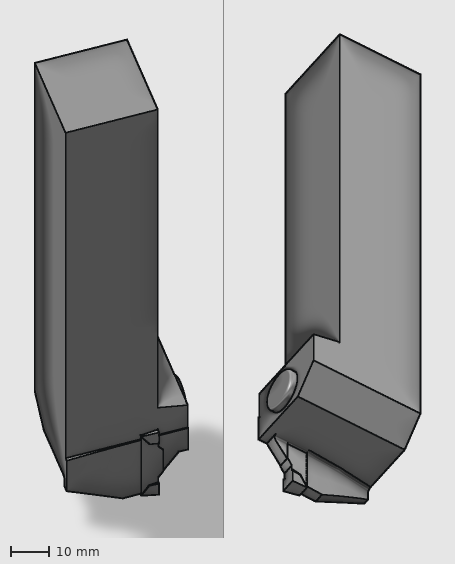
import cadquery as cq

total_height = 152.4
shank_width = 25.3
shank_depth = 25.3
holder_bottom = 14.2

lug_back = 33.5
lug_top_outer = 31.5
lug_top_inner = 33.5
chamfer_width = 7.3

head_diameter = 11.9
head_height = 2.0
head_rounding = 0.9
head_x = 13.4
head_z = 21.5

blade_top = 22.7
blade_front_bottom = 10.5
blade_toe_y = 15.5
blade_bottom = 1.4
blade_front_x = (24.4, 26.2)
blade_middle_x = (22.9, 25.8)
blade_back_x = (22.7, 25.6)
blade_middle_y = 13.7
blade_heel_y = 31.0
root_radius = 1.2

insert_front = 20.5
insert_back = 26.7
tip_y = 25.3
shoulder_low = 6.2
shoulder_high = 8.2
tip_rise = 0.6
insert_length = 24.8
insert_body_x = (22.3, 25.8)
insert_tip_x = (22.0, 26.4)
tip_back_height = 4.4
tip_land_y = 22.7
tip_land_z = 4.1
tip_flank_y = 21.2
tip_flank_z = 1.7


def extrude_yz(points, x_range):
    """Extrude a closed outline of (Y, Z) points between two X positions."""
    profile = cq.Workplane("YZ", origin=(x_range[0], 0, 0)).polyline(points).close()
    return profile.extrude(x_range[1] - x_range[0])


def make_shank():
    outline = [
        (0, holder_bottom),
        (lug_back, holder_bottom),
        (lug_back, lug_top_outer),
        (shank_depth, lug_top_inner),
        (shank_depth, total_height),
        (0, total_height),
    ]
    shank = extrude_yz(outline, (0, shank_width))
    return shank.faces("<Z").edges("<X").chamfer(chamfer_width)


def make_screw_head():
    head = (
        cq.Workplane("XZ", origin=(head_x, lug_back, head_z))
        .circle(head_diameter / 2)
        .extrude(-head_height)
    )
    return head.faces(">Y").edges().fillet(head_rounding)


def make_blade():
    """Curved plate that bulges past the +X face of the shank."""
    return (
        cq.Workplane("XY", origin=(0, 0, blade_bottom))
        .moveTo(blade_front_x[0], 0)
        .threePointArc((blade_middle_x[0], blade_middle_y), (blade_back_x[0], lug_back))
        .lineTo(blade_back_x[1], lug_back)
        .threePointArc((blade_middle_x[1], blade_middle_y), (blade_front_x[1], 0))
        .close()
        .extrude(blade_top - blade_bottom)
    )


def make_blade_trim():
    """Side outline of the blade below the shank, cut away where the insert sits."""
    outline = [
        (0, total_height),
        (0, blade_front_bottom),
        (blade_toe_y, blade_bottom),
        (insert_front, blade_bottom),
        (insert_front, shoulder_high),
        (insert_back, shoulder_high),
        (blade_heel_y, holder_bottom),
        (lug_back, holder_bottom),
        (lug_back, total_height),
    ]
    return extrude_yz(outline, (0, insert_tip_x[1]))


def make_insert():
    """Bar with a cutting tip at each end that narrows in X away from its edge."""
    middle = insert_length / 2
    body_outline = [
        (insert_front, middle),
        (insert_front, tip_rise),
        (tip_y, 0),
        (tip_y, shoulder_low),
        (insert_back, shoulder_high),
        (insert_back, middle),
    ]
    tip_outline = [
        (insert_front, tip_rise),
        (tip_y, 0),
        (tip_y, tip_back_height),
        (tip_land_y, tip_land_z),
        (tip_flank_y, tip_flank_z),
    ]
    relief_outline = [
        (insert_body_x[0], insert_front),
        (insert_body_x[1], insert_front),
        (insert_tip_x[1], tip_y),
        (insert_tip_x[0], tip_y),
    ]
    side_relief = cq.Workplane("XY").polyline(relief_outline).close().extrude(middle)
    tip = extrude_yz(tip_outline, insert_tip_x).intersect(side_relief)
    lower_half = extrude_yz(body_outline, insert_body_x).union(tip)
    upper_half = lower_half.mirror("XY", (0, 0, middle))
    return lower_half.union(upper_half)


def make_holder(insert):
    """Shank, blade and screw head in one piece, with a seat for the insert."""
    holder = make_shank().union(make_blade())
    root_box = cq.selectors.BoxSelector(
        (chamfer_width + root_radius, 0, holder_bottom - root_radius / 2),
        (blade_front_x[0], lug_back, holder_bottom + root_radius / 2),
    )
    holder = holder.edges("%CIRCLE").edges(root_box).fillet(root_radius)
    holder = holder.intersect(make_blade_trim())
    return holder.union(make_screw_head()).cut(insert)


insert = make_insert()
holder = make_holder(insert)
result = cq.Compound.makeCompound([*holder.solids().vals(), *insert.solids().vals()])